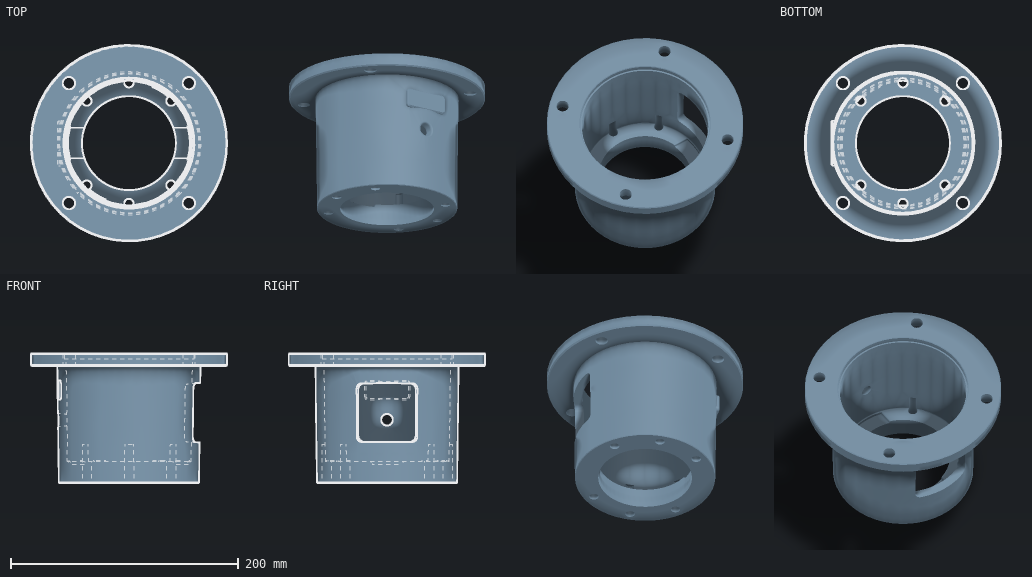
import cadquery as cq
import math

TOTAL_HEIGHT = 114.3
FLANGE_RADIUS = 172.97 / 2
FLANGE_THICKNESS = 11.4
FLANGE_TOP_CHAMFER = 0.75
FLANGE_BOTTOM_CHAMFER = 1.1
DRAFT_ANGLE = math.radians(0.75)

BODY_TOP_RADIUS = 63.1
NECK_HEIGHT = 1.4
BODY_BOTTOM_CHAMFER = 0.6

PILOT_RADIUS = 57.15
PILOT_DEPTH = 4.8
PILOT_CHAMFER = 0.6
CAVITY_TOP_RADIUS = 55.7
FLOOR_THICKNESS = 19.0
FLOOR_FILLET = 1.0
SHAFT_BORE_RADIUS = 82.55 / 2

FLANGE_HOLE_DIAMETER = 10.7
FLANGE_HOLE_CIRCLE_RADIUS = 149.2 / 2

FLOOR_HOLE_DIAMETER = 8.2
FLOOR_HOLE_TOP = 34.0
PAIR_CIRCLE_RADIUS = 106.4 / 2
FOUR_CIRCLE_RADIUS = 104.8 / 2

RECESS_WIDTH = 27.0
RECESS_DEPTH = 2.5
RECESS_FILLET = 1.2

WINDOW_WIDTH = 53.8
WINDOW_TOP_DEPTH = 26.2
WINDOW_BOTTOM_DEPTH = 78.5
WINDOW_CORNER_RADIUS = 5.0
WINDOW_SIDE_DRAFT = math.radians(12)
WINDOW_END_DRAFT = math.radians(3)

SIDE_HOLE_DEPTH = 58.6
SIDE_HOLE_OUTER_RADIUS = 5.75
SIDE_HOLE_INNER_RADIUS = 5.1
SIDE_HOLE_MOUTH_FILLET = 1.7

PAD_WIDTH = 39.6
PAD_HEIGHT = 17.2
PAD_CENTER_DEPTH = 32.3
PAD_FACE_DISTANCE = 63.0
PAD_CORNER_RADIUS = 3.0
PAD_EDGE_CHAMFER = 1.2

FLANGE_BOTTOM = TOTAL_HEIGHT - FLANGE_THICKNESS
NECK_BOTTOM = FLANGE_BOTTOM - NECK_HEIGHT
PILOT_LEDGE = TOTAL_HEIGHT - PILOT_DEPTH
BODY_BOTTOM_RADIUS = BODY_TOP_RADIUS - NECK_BOTTOM * math.tan(DRAFT_ANGLE)
CAVITY_FLOOR_RADIUS = CAVITY_TOP_RADIUS - (PILOT_LEDGE - FLOOR_THICKNESS) * math.tan(DRAFT_ANGLE)


def revolve_about_z(profile):
    return profile.close().revolve(360, (0, 0, 0), (0, 1, 0))


def make_outside():
    flange = (
        cq.Workplane("XY", origin=(0, 0, FLANGE_BOTTOM))
        .circle(FLANGE_RADIUS)
        .extrude(FLANGE_THICKNESS)
        .faces(">Z")
        .edges()
        .chamfer(FLANGE_TOP_CHAMFER)
        .faces("<Z")
        .edges()
        .chamfer(FLANGE_BOTTOM_CHAMFER)
    )
    body = revolve_about_z(
        cq.Workplane("YZ")
        .lineTo(BODY_BOTTOM_RADIUS, 0)
        .lineTo(BODY_TOP_RADIUS, NECK_BOTTOM)
        .lineTo(BODY_TOP_RADIUS, FLANGE_BOTTOM)
        .lineTo(0, FLANGE_BOTTOM)
    )
    body = body.faces("<Z").edges().chamfer(BODY_BOTTOM_CHAMFER)
    return flange.union(body)


def make_pad():
    """Flat raised pad, its root buried in the wall."""
    return (
        cq.Workplane("YZ", origin=(-PAD_FACE_DISTANCE, 0, TOTAL_HEIGHT - PAD_CENTER_DEPTH))
        .rect(PAD_WIDTH, PAD_HEIGHT)
        .extrude(PAD_FACE_DISTANCE - CAVITY_TOP_RADIUS)
        .edges("|X")
        .fillet(PAD_CORNER_RADIUS)
        .faces("<X")
        .edges()
        .chamfer(PAD_EDGE_CHAMFER)
    )


def make_cavity():
    cavity = revolve_about_z(
        cq.Workplane("YZ")
        .moveTo(0, FLOOR_THICKNESS)
        .lineTo(CAVITY_FLOOR_RADIUS, FLOOR_THICKNESS)
        .lineTo(CAVITY_TOP_RADIUS, PILOT_LEDGE)
        .lineTo(0, PILOT_LEDGE)
    )
    cavity = cavity.faces("<Z").edges().fillet(FLOOR_FILLET)
    pilot = (
        cq.Workplane("XY", origin=(0, 0, PILOT_LEDGE))
        .circle(PILOT_RADIUS)
        .extrude(PILOT_DEPTH)
    )
    mouth = revolve_about_z(
        cq.Workplane("YZ")
        .moveTo(0, TOTAL_HEIGHT - PILOT_CHAMFER)
        .lineTo(PILOT_RADIUS, TOTAL_HEIGHT - PILOT_CHAMFER)
        .lineTo(PILOT_RADIUS + PILOT_CHAMFER, TOTAL_HEIGHT)
        .lineTo(0, TOTAL_HEIGHT)
    )
    return cavity.union(pilot).union(mouth)


def make_shaft_bore():
    return cq.Workplane("XY").circle(SHAFT_BORE_RADIUS).extrude(TOTAL_HEIGHT)


def make_recess():
    """Channel along X sunk into the floor, with rounded floor corners and rounded upper rims."""
    side = RECESS_WIDTH / 2
    bottom = FLOOR_THICKNESS - RECESS_DEPTH
    arc_sag = RECESS_FILLET * (1 - math.sqrt(0.5))
    half_channel = (
        cq.Workplane("YZ", origin=(-CAVITY_FLOOR_RADIUS, 0, 0))
        .moveTo(0, bottom)
        .lineTo(side - RECESS_FILLET, bottom)
        .threePointArc((side - arc_sag, bottom + arc_sag), (side, bottom + RECESS_FILLET))
        .lineTo(side, FLOOR_THICKNESS - RECESS_FILLET)
        .threePointArc(
            (side + arc_sag, FLOOR_THICKNESS - arc_sag), (side + RECESS_FILLET, FLOOR_THICKNESS)
        )
        .lineTo(0, FLOOR_THICKNESS)
        .close()
        .extrude(2 * CAVITY_FLOOR_RADIUS)
    )
    channel = half_channel.mirror("XZ", union=True)
    flat_floor = cq.Workplane("XY").circle(CAVITY_FLOOR_RADIUS - FLOOR_FILLET).extrude(TOTAL_HEIGHT)
    return channel.intersect(flat_floor)


def make_holes_on_circle(circle_radius, diameter, bottom, top, start_angle, count):
    return (
        cq.Workplane("XY", origin=(0, 0, bottom))
        .polarArray(circle_radius, start_angle, 360, count)
        .circle(diameter / 2)
        .extrude(top - bottom)
    )


def make_window():
    """Rounded rectangular opening that narrows toward the axis, sized at the outside of the wall."""
    height = WINDOW_BOTTOM_DEPTH - WINDOW_TOP_DEPTH
    center_z = TOTAL_HEIGHT - (WINDOW_BOTTOM_DEPTH + WINDOW_TOP_DEPTH) / 2
    half_width = WINDOW_WIDTH / 2
    side_x = math.sqrt(BODY_TOP_RADIUS ** 2 - half_width ** 2)

    def width_at(x):
        return WINDOW_WIDTH + 2 * (x - side_x) * math.tan(WINDOW_SIDE_DRAFT)

    def height_at(x):
        return height + 2 * (x - BODY_TOP_RADIUS) * math.tan(WINDOW_END_DRAFT)

    return (
        cq.Workplane("YZ", origin=(SHAFT_BORE_RADIUS, 0, center_z))
        .rect(width_at(SHAFT_BORE_RADIUS), height_at(SHAFT_BORE_RADIUS))
        .workplane(offset=FLANGE_RADIUS - SHAFT_BORE_RADIUS)
        .rect(width_at(FLANGE_RADIUS), height_at(FLANGE_RADIUS))
        .loft(ruled=True)
        .edges("not(#X)")
        .fillet(WINDOW_CORNER_RADIUS)
    )


def cut_side_hole(housing):
    hole_z = TOTAL_HEIGHT - SIDE_HOLE_DEPTH
    wall_thickness = BODY_TOP_RADIUS - CAVITY_TOP_RADIUS
    radius_slope = (SIDE_HOLE_OUTER_RADIUS - SIDE_HOLE_INNER_RADIUS) / wall_thickness
    hole_start = BODY_TOP_RADIUS + wall_thickness
    hole_end = CAVITY_TOP_RADIUS - wall_thickness
    start_radius = SIDE_HOLE_OUTER_RADIUS + wall_thickness * radius_slope
    end_radius = SIDE_HOLE_INNER_RADIUS - wall_thickness * radius_slope
    hole = (
        cq.Workplane("YZ", origin=(-hole_start, 0, hole_z))
        .circle(start_radius)
        .workplane(offset=hole_start - hole_end)
        .circle(end_radius)
        .loft(ruled=True)
    )
    mouth_zone = cq.selectors.BoxSelector(
        (-hole_start, -start_radius, hole_z - start_radius),
        (-(BODY_TOP_RADIUS + CAVITY_TOP_RADIUS) / 2, start_radius, hole_z + start_radius),
        boundingbox=True,
    )
    return housing.cut(hole).edges(mouth_zone).fillet(SIDE_HOLE_MOUTH_FILLET)


housing = (
    make_outside()
    .union(make_pad())
    .cut(make_cavity())
    .cut(make_shaft_bore())
    .cut(make_recess())
    .cut(make_holes_on_circle(
        FLANGE_HOLE_CIRCLE_RADIUS, FLANGE_HOLE_DIAMETER, FLANGE_BOTTOM, TOTAL_HEIGHT, 45, 4))
    .cut(make_holes_on_circle(PAIR_CIRCLE_RADIUS, FLOOR_HOLE_DIAMETER, 0, FLOOR_HOLE_TOP, 90, 2))
    .cut(make_holes_on_circle(FOUR_CIRCLE_RADIUS, FLOOR_HOLE_DIAMETER, 0, FLOOR_HOLE_TOP, 45, 4))
    .cut(make_window())
)
result = cut_side_hole(housing)